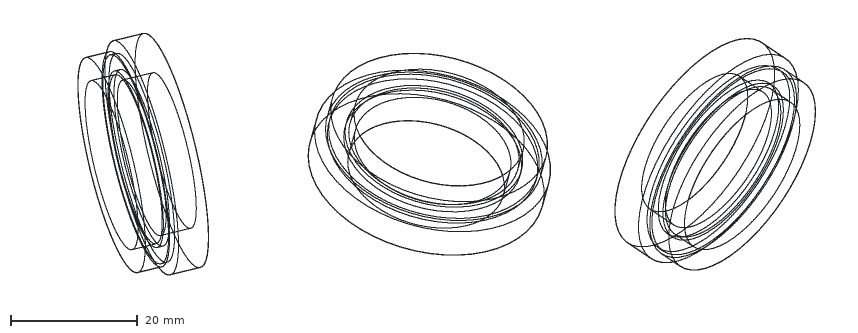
import cadquery as cq

flange_diameter = 38.1
spigot_diameter = 35.0
neck_diameter = 34.0
counterbore_diameter = 27.5
inner_relief_diameter = 28.7
bore_diameter = 25.3

flange_length = 5.0
neck_length = 1.0
spigot_length = 4.0
counterbore_depth = 5.0
inner_relief_length = 1.0
total_length = spigot_length + neck_length + flange_length


def cylinder(diameter, start, length):
    """Cylinder about the Y axis, running from Y = start towards +Y."""
    front_plane = cq.Workplane("XZ", origin=(0, start, 0))
    return front_plane.circle(diameter / 2).extrude(-length)


def make_body():
    """Spigot, relief neck and flange stacked from front to back."""
    spigot = cylinder(spigot_diameter, 0, spigot_length)
    neck = cylinder(neck_diameter, spigot_length, neck_length)
    flange = cylinder(flange_diameter, spigot_length + neck_length, flange_length)
    return spigot.union(neck).union(flange)


def cut_bores(body):
    """Through bore with a counterbore from the front face, relieved at its shoulder."""
    bore = cylinder(bore_diameter, 0, total_length)
    counterbore = cylinder(counterbore_diameter, 0, counterbore_depth)
    inner_relief_start = counterbore_depth - inner_relief_length
    inner_relief = cylinder(inner_relief_diameter, inner_relief_start, inner_relief_length)
    return body.cut(bore).cut(counterbore).cut(inner_relief)


result = cut_bores(make_body())